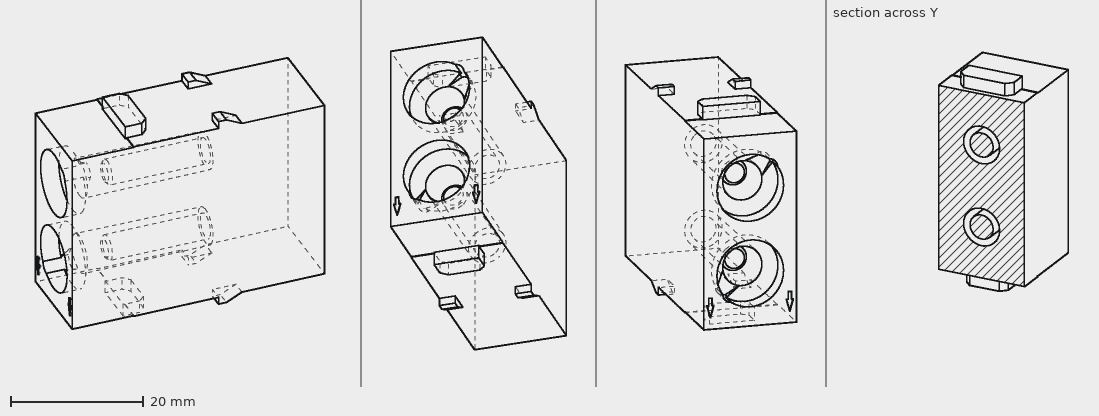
import cadquery as cq

WIDTH = 14.6
DEPTH = 41.3
TOTAL_HEIGHT = 34.4
FRONT_Y = -DEPTH / 2
BACK_Y = DEPTH / 2

END_HEIGHT = 30.15
STEP_HEIGHT = 30.35
FRONT_SECTION_DEPTH = 10.08
STEP_Y = FRONT_Y + FRONT_SECTION_DEPTH

LATCH_WIDTH = 2.5
LATCH_TIP_HEIGHT = 32.7
LATCH_FRONT_Y = 3.3
LATCH_CREST_Y = 4.6
LATCH_REAR_Y = 7.23

TAB_FRONT_Y = -10.8
TAB_DEPTH = 3.75
TAB_CHAMFER = 1.05
TOP_TAB_WIDTH = 9.1
BOTTOM_TAB_WIDTH = 7.1

CAVITY_PITCH = 13.5
ENTRY_DIAMETER = 10.55
ENTRY_RADIUS = ENTRY_DIAMETER / 2
ENTRY_DEPTH = 2.97
CONE_END_RADIUS = 3.1
CONE_END_DEPTH = 4.17
BORE_END_RADIUS = 2.97
BORE_END_DEPTH = 24.8
PIN_DIAMETER = 4.0
PIN_RADIUS = PIN_DIAMETER / 2
PIN_TIP_DEPTH = 8.25
PIN_TIP_CHAMFER = 0.45

SLOT_INNER_REACH = 2.55
SLOT_INNER_HALF_WIDTH = 1.8
SLOT_SHOULDER_REACH = 4.95
SLOT_SHOULDER_HALF_WIDTH = 1.15
SLOT_TIP_REACH = 5.55
TOP_SLOT_ANGLE = 45.0
BOTTOM_SLOT_ANGLE = TOP_SLOT_ANGLE + 180.0

ARROW_SPACING = 12.55
ARROW_TOP_Z = -10.15
ARROW_SHOULDER_Z = -11.35
ARROW_TIP_Z = -13.25
ARROW_SHAFT_WIDTH = 0.55
ARROW_HEAD_WIDTH = 1.07
ARROW_ENGRAVING = 0.2


def front_sketch():
    """Sketch plane on the front face: local x = X, local y = Z, normal = -Y."""
    return cq.Workplane("XZ", origin=(0, FRONT_Y, 0))


def make_housing():
    """Side profile of both sections, extruded over the width."""
    half_end = END_HEIGHT / 2
    half_step = STEP_HEIGHT / 2
    profile = [
        (FRONT_Y, -half_end),
        (STEP_Y, -half_end),
        (STEP_Y, -half_step),
        (BACK_Y, -half_end),
        (BACK_Y, half_end),
        (STEP_Y, half_step),
        (STEP_Y, half_end),
        (FRONT_Y, half_end),
    ]
    return cq.Workplane("YZ").polyline(profile).close().extrude(WIDTH / 2, both=True)


def make_latches():
    """Ramped latches above and below the housing, two on each side."""
    root_z = END_HEIGHT / 2
    tip_z = LATCH_TIP_HEIGHT / 2
    profile = [
        (LATCH_FRONT_Y, 0),
        (LATCH_FRONT_Y, tip_z),
        (LATCH_CREST_Y, tip_z),
        (LATCH_REAR_Y, root_z),
        (LATCH_REAR_Y, 0),
    ]
    left = (
        cq.Workplane("YZ", origin=(-WIDTH / 2, 0, 0))
        .polyline(profile)
        .close()
        .extrude(LATCH_WIDTH)
    )
    upper = left.union(left.mirror("YZ"))
    return upper.union(upper.mirror("XY"))


def make_tab(width):
    """Tab reaching from the middle of the housing up to the full height."""
    return (
        cq.Workplane("XY")
        .center(0, TAB_FRONT_Y + TAB_DEPTH / 2)
        .rect(width, TAB_DEPTH)
        .extrude(TOTAL_HEIGHT / 2)
        .edges("|Z and >Y")
        .chamfer(TAB_CHAMFER)
    )


def make_cavity(z):
    """Ring-shaped void around the contact pin, revolved about the cavity axis."""
    profile = [
        (0, 0),
        (ENTRY_RADIUS, 0),
        (ENTRY_RADIUS, ENTRY_DEPTH),
        (CONE_END_RADIUS, CONE_END_DEPTH),
        (BORE_END_RADIUS, BORE_END_DEPTH),
        (PIN_RADIUS, BORE_END_DEPTH),
        (PIN_RADIUS, PIN_TIP_DEPTH + PIN_TIP_CHAMFER),
        (PIN_RADIUS - PIN_TIP_CHAMFER, PIN_TIP_DEPTH),
        (0, PIN_TIP_DEPTH),
    ]
    void = cq.Workplane("XY").polyline(profile).close().revolve(360, (0, 0, 0), (0, 1, 0))
    return void.translate((0, FRONT_Y, z))


def make_slot(z, angle):
    """Tapered coding slot, as deep as the end of the cone."""
    slot = (
        front_sketch()
        .moveTo(0, -SLOT_INNER_HALF_WIDTH)
        .lineTo(SLOT_INNER_REACH, -SLOT_INNER_HALF_WIDTH)
        .lineTo(SLOT_SHOULDER_REACH, -SLOT_SHOULDER_HALF_WIDTH)
        .threePointArc((SLOT_TIP_REACH, 0), (SLOT_SHOULDER_REACH, SLOT_SHOULDER_HALF_WIDTH))
        .lineTo(SLOT_INNER_REACH, SLOT_INNER_HALF_WIDTH)
        .lineTo(0, SLOT_INNER_HALF_WIDTH)
        .close()
        .extrude(-CONE_END_DEPTH)
    )
    return slot.rotate((0, 0, 0), (0, -1, 0), angle).translate((0, 0, z))


def make_arrow(x):
    """Downward arrow, sunk into the front face."""
    half_shaft = ARROW_SHAFT_WIDTH / 2
    half_head = ARROW_HEAD_WIDTH / 2
    outline = [
        (x - half_shaft, ARROW_TOP_Z),
        (x + half_shaft, ARROW_TOP_Z),
        (x + half_shaft, ARROW_SHOULDER_Z),
        (x + half_head, ARROW_SHOULDER_Z),
        (x, ARROW_TIP_Z),
        (x - half_head, ARROW_SHOULDER_Z),
        (x - half_shaft, ARROW_SHOULDER_Z),
    ]
    return front_sketch().polyline(outline).close().extrude(-ARROW_ENGRAVING)


result = make_housing().union(make_latches())
result = result.union(make_tab(TOP_TAB_WIDTH))
result = result.union(make_tab(BOTTOM_TAB_WIDTH).mirror("XY"))

for cavity_z, slot_angle in (
    (CAVITY_PITCH / 2, TOP_SLOT_ANGLE),
    (-CAVITY_PITCH / 2, BOTTOM_SLOT_ANGLE),
):
    result = result.cut(make_cavity(cavity_z))
    result = result.cut(make_slot(cavity_z, slot_angle))

for arrow_x in (-ARROW_SPACING / 2, ARROW_SPACING / 2):
    result = result.cut(make_arrow(arrow_x))